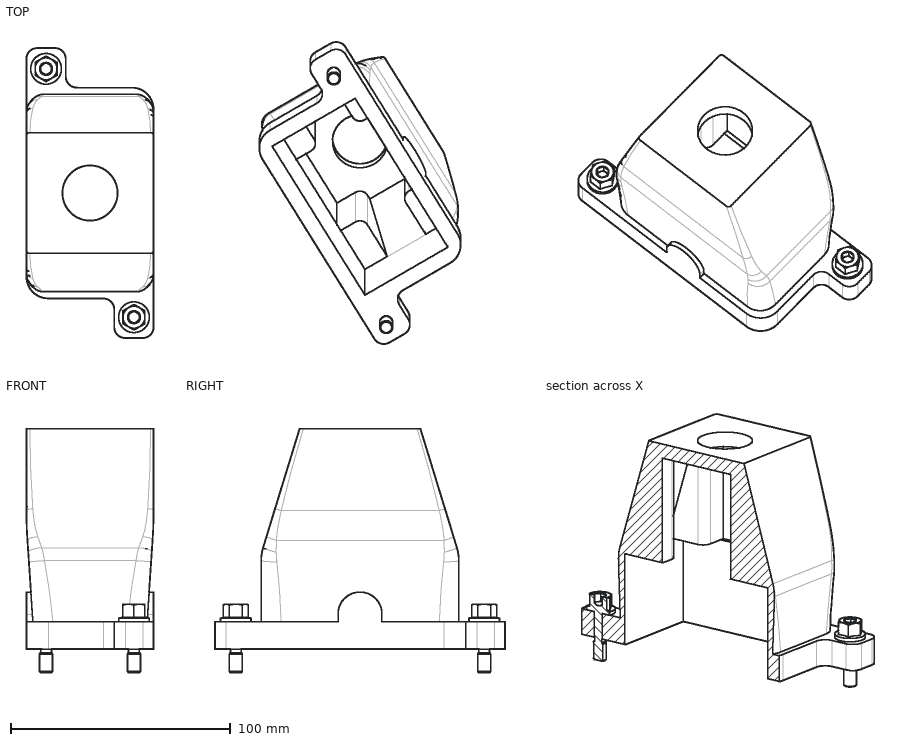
import cadquery as cq
import math


plate_width = 57.96
plate_length = 132.0
plate_height = 12.5
middle_length = 96.0
middle_radius = 10.0
tab_width = 18.0
tab_radius = 5.0

hood_top = 100.4
base_width = 52.0
base_length = 90.0
top_length = 55.0
end_bend_height = 43.4
end_bend_radius = 20.0
side_bend_height = 56.4
side_bend_radius = 200.0
corner_radii = [9.0, 7.0, 6.0, 5.0, 2.9, 1.5]

lug_radius = 10.0
lug_center_height = 16.0

cable_hole_diameter = 25.0
roof_thickness = 7.0
wall_thickness = 4.0
cavity_width = 48.0
column_width = 13.8
column_gap = 39.2
column_radius = 4.0

screw_x = 20.0
screw_y = 56.5
flange_diameter = 14.0
flange_rim_height = 1.6
flange_height = 2.1
head_height = 8.0
head_across_flats = 10.0
head_chamfer_angle = 30.0
socket_across_flats = 5.0
socket_depth = 4.0
socket_tip_angle = 118.0
neck_diameter = 5.0
neck_end = -1.5
neck_cone_height = 0.7
thread_diameter = 6.0
thread_tip_chamfer = 0.5
screw_end = -10.6

half_width = plate_width / 2
half_length = plate_length / 2
half_middle = middle_length / 2
ceiling = hood_top - roof_thickness
screw_places = [(-screw_x, screw_y), (screw_x, -screw_y)]
corners_per_flat = 2 / math.sqrt(3)
tolerance = 1e-3


def flange_plate():
    """S-shaped plate: a middle block with a tab at two opposite corners."""
    middle = cq.Workplane("XY").rect(plate_width, middle_length).extrude(plate_height)
    tab_x = half_width - tab_width / 2
    tabs = (
        cq.Workplane("XY")
        .pushPoints([(-tab_x, half_length / 2), (tab_x, -half_length / 2)])
        .rect(tab_width, half_length)
        .extrude(plate_height)
    )
    plate = middle.union(tabs)
    tab_edge = half_width - tab_width
    middle_corners = []
    tab_corners = []
    for side in (1, -1):
        middle_corners.append((side * half_width, side * half_middle))
        tab_corners.append((-side * half_width, side * half_length))
        tab_corners.append((-side * tab_edge, side * half_length))
        tab_corners.append((-side * tab_edge, side * half_middle))
    plate = round_vertical_edges(plate, middle_corners, middle_radius)
    return round_vertical_edges(plate, tab_corners, tab_radius)


def round_vertical_edges(body, places, radius):
    """Round the vertical edges that stand at the given XY places."""

    def stands_at_place(edge):
        center = edge.Center()
        return any(math.hypot(center.x - x, center.y - y) < tolerance for x, y in places)

    return body.edges("|Z").filter(stands_at_place).fillet(radius)


def bent_prism(plane, bend_height, base_half, bend_half, top_half, bend_radius):
    """Mirrored wall outline from plate to roof, its bend rounded tangentially, extruded both ways."""
    lower_angle = math.atan2(bend_height - plate_height, bend_half - base_half)
    upper_angle = math.atan2(hood_top - bend_height, top_half - bend_half)
    half_turn = (upper_angle - lower_angle) / 2
    tangent_length = bend_radius * math.tan(half_turn)
    middle_offset = bend_radius / math.cos(half_turn) - bend_radius
    inward_angle = (lower_angle + upper_angle) / 2 + math.pi / 2

    def from_bend(distance, angle):
        return (bend_half + distance * math.cos(angle), bend_height + distance * math.sin(angle))

    def mirrored(point):
        return (-point[0], point[1])

    arc_start = from_bend(-tangent_length, lower_angle)
    arc_middle = from_bend(middle_offset, inward_angle)
    arc_end = from_bend(tangent_length, upper_angle)
    return (
        cq.Workplane(plane)
        .moveTo(-base_half, plate_height)
        .lineTo(base_half, plate_height)
        .lineTo(*arc_start)
        .threePointArc(arc_middle, arc_end)
        .lineTo(top_half, hood_top)
        .lineTo(-top_half, hood_top)
        .lineTo(*mirrored(arc_end))
        .threePointArc(mirrored(arc_middle), mirrored(arc_start))
        .close()
        .extrude(base_length, both=True)
    )


def hood_block():
    """Outside of the hood with sharp corners: the common part of its two bent outlines."""
    sides = bent_prism(
        "XZ", side_bend_height, base_width / 2, half_width, half_width, side_bend_radius
    )
    ends = bent_prism(
        "YZ", end_bend_height, base_length / 2, base_length / 2, top_length / 2, end_bend_radius
    )
    return sides.intersect(ends)


def round_corners(block):
    """Corner rounding whose radius shrinks from the plate up to the roof along each chain of edges."""
    maker = cq.occ_impl.shapes.BRepFilletAPI_MakeFillet(block.val().wrapped)
    corner_edges = block.edges("not(|X or |Y)")
    base_edges = corner_edges.filter(lambda edge: edge.BoundingBox().zmin < plate_height + tolerance)
    for chain, base_edge in enumerate(base_edges.vals(), start=1):
        maker.Add(base_edge.wrapped)
        edges = [cq.Edge(maker.Edge(chain, index + 1)) for index in range(maker.NbEdges(chain))]
        edges.sort(key=lambda edge: edge.Center().z)
        joints = [min(edges[0].Vertices(), key=lambda vertex: vertex.Z)]
        joints += [max(edge.Vertices(), key=lambda vertex: vertex.Z) for edge in edges]
        for joint, radius in zip(joints, corner_radii):
            maker.SetRadius(radius, chain, joint.wrapped)
    return cq.Workplane(cq.Shape.cast(maker.Shape()))


def side_lugs():
    """Round-topped lugs flush with both long sides of the plate, as one bar through the hood."""
    return (
        cq.Workplane("YZ")
        .moveTo(-lug_radius, plate_height)
        .lineTo(-lug_radius, lug_center_height)
        .threePointArc((0, lug_center_height + lug_radius), (lug_radius, lug_center_height))
        .lineTo(lug_radius, plate_height)
        .close()
        .extrude(half_width, both=True)
    )


def hood_cavity():
    """Rectangular room below; above it a cross-shaped room between four rounded corner columns."""
    lower_width = base_width - 2 * wall_thickness
    lower_length = base_length - 2 * wall_thickness
    lower_room = cq.Workplane("XY").rect(lower_width, lower_length).extrude(end_bend_height)

    side_room = (
        cq.Workplane("XY", origin=(0, 0, end_bend_height))
        .rect(cavity_width, column_gap)
        .extrude(ceiling - end_bend_height)
    )
    end_slope = (base_length - top_length) / 2 / (hood_top - end_bend_height)
    ceiling_half_length = top_length / 2 + end_slope * roof_thickness - wall_thickness
    end_room_half_width = cavity_width / 2 - column_width
    end_room = (
        cq.Workplane("YZ")
        .moveTo(-lower_length / 2, end_bend_height)
        .lineTo(lower_length / 2, end_bend_height)
        .lineTo(ceiling_half_length, ceiling)
        .lineTo(-ceiling_half_length, ceiling)
        .close()
        .extrude(end_room_half_width, both=True)
    )
    column_corners = [
        (x * end_room_half_width, y * column_gap / 2) for x in (1, -1) for y in (1, -1)
    ]
    upper_room = round_vertical_edges(side_room.union(end_room), column_corners, column_radius)
    return lower_room.union(upper_room)


def make_housing():
    """Plate, hood and lugs in one piece, with the cavity, the cable hole and the screw holes."""
    cable_hole = (
        cq.Workplane("XY", origin=(0, 0, end_bend_height))
        .circle(cable_hole_diameter / 2)
        .extrude(hood_top - end_bend_height)
    )
    screw_holes = (
        cq.Workplane("XY").pushPoints(screw_places).circle(neck_diameter / 2).extrude(plate_height)
    )
    body = flange_plate().union(round_corners(hood_block())).union(side_lugs())
    return body.cut(hood_cavity()).cut(cable_hole).cut(screw_holes)


def turned(outline):
    """Solid of revolution about Z from (radius, height) points."""
    return cq.Workplane("XZ").polyline(outline).close().revolve(360, (0, 0, 0), (0, 1, 0))


def hexagon_prism(base_height, across_flats, height):
    """Hexagonal prism with two corners on the Y direction."""
    return (
        cq.Workplane("XY", origin=(0, 0, base_height))
        .transformed(rotate=(0, 0, 90))
        .polygon(6, across_flats * corners_per_flat)
        .extrude(height)
    )


def screw_shank():
    """Necked shank with a thread cylinder below and a slightly conical flange above."""
    neck_radius = neck_diameter / 2
    thread_radius = thread_diameter / 2
    flange_radius = flange_diameter / 2
    flange_top = plate_height + flange_height
    return turned(
        [
            (0, screw_end),
            (thread_radius - thread_tip_chamfer, screw_end),
            (thread_radius, screw_end + thread_tip_chamfer),
            (thread_radius, neck_end - neck_cone_height),
            (neck_radius, neck_end),
            (neck_radius, plate_height),
            (flange_radius, plate_height),
            (flange_radius, plate_height + flange_rim_height),
            (head_across_flats / 2, flange_top),
            (0, flange_top),
        ]
    )


def screw_head(head_top):
    """Hexagon head with its upper corners chamfered by a cone."""
    flat_radius = head_across_flats / 2
    corner_radius = flat_radius * corners_per_flat
    corner_drop = (corner_radius - flat_radius) * math.tan(math.radians(head_chamfer_angle))
    envelope = turned(
        [
            (0, plate_height),
            (corner_radius, plate_height),
            (corner_radius, head_top - corner_drop),
            (flat_radius, head_top),
            (0, head_top),
        ]
    )
    return hexagon_prism(plate_height, head_across_flats, head_height).intersect(envelope)


def screw_socket(head_top):
    """Hexagon socket with a countersunk mouth over its corners and a drill point at its floor."""
    tip_slope = math.tan(math.radians(socket_tip_angle / 2))
    flat_radius = socket_across_flats / 2
    mouth_radius = flat_radius * corners_per_flat
    floor = head_top - socket_depth
    mouth = turned([(0, head_top), (mouth_radius, head_top), (0, head_top - mouth_radius / tip_slope)])
    drill_point = turned([(0, floor), (flat_radius, floor), (0, floor - flat_radius / tip_slope)])
    hexagon = hexagon_prism(floor, socket_across_flats, socket_depth)
    return hexagon.union(mouth).union(drill_point)


def make_screw(place):
    """Hexagon flange screw standing in the plate at an XY place."""
    head_top = plate_height + head_height
    body = screw_shank().union(screw_head(head_top)).cut(screw_socket(head_top))
    return body.translate((*place, 0))


housing = make_housing().solids()
screws = [make_screw(place).solids() for place in screw_places]

result = cq.Compound.makeCompound([housing.val(), *[screw.val() for screw in screws]])